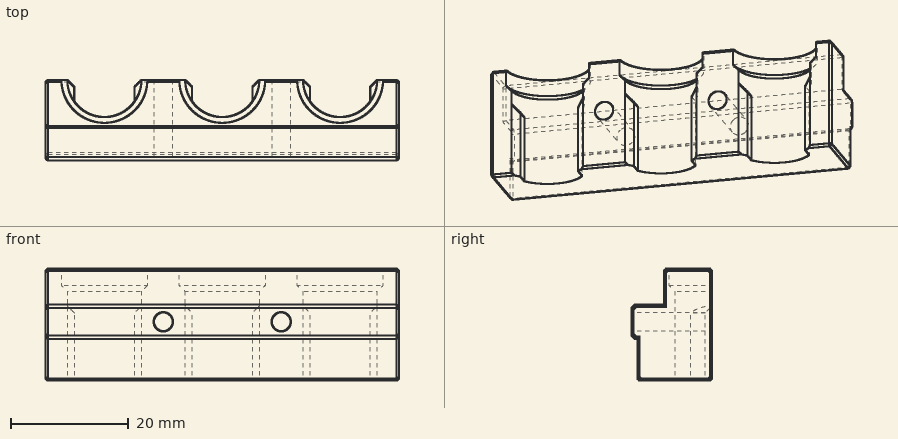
import cadquery as cq
import math

length = 60.0
depth = 13.7
height = 19.0

hole_diameter = 3.2
hole_height = 10.0

lip_width = 5.8
lip_overhang = 1.0
upper_depth = 8.2
lip_bottom = hole_height - lip_width / 2
lip_top = hole_height + lip_width / 2
lower_depth = depth - lip_overhang

edge_chamfer = 0.4
lip_chamfer = 0.6

cradle_pitch = 20.0
cradle_count = 3
rim_radius = 7.3
bore_radius = 6.3
rim_depth = 2.85
throat_depth = 6.3
throat_half_width = 5.1


def centred_positions(count):
    """X positions of `count` features spaced by the cradle pitch about the middle."""
    return [(i - (count - 1) / 2) * cradle_pitch for i in range(count)]


def rail_profile(x, inset):
    """Stepped YZ section at `x` with chamfered outer corners, offset inward by `inset`."""
    leg_loss = inset * (2 - math.sqrt(2))
    edge_leg = edge_chamfer - leg_loss
    lip_leg = lip_chamfer - leg_loss

    back = -inset
    upper_front = -upper_depth + inset
    lip_front = -depth + inset
    lower_front = -lower_depth + inset
    bottom = inset
    lip_under = lip_bottom + inset
    ledge = lip_top - inset
    top = height - inset

    corners = [
        (back, bottom + edge_leg),
        (back, top - edge_leg),
        (back - edge_leg, top),
        (upper_front + edge_leg, top),
        (upper_front, top - edge_leg),
        (upper_front, ledge),
        (lip_front + lip_leg, ledge),
        (lip_front, ledge - lip_leg),
        (lip_front, lip_under + lip_leg),
        (lip_front + lip_leg, lip_under),
        (lower_front, lip_under),
        (lower_front, bottom + edge_leg),
        (lower_front + edge_leg, bottom),
        (back - edge_leg, bottom),
    ]
    return cq.Workplane("YZ", origin=(x, 0, 0)).polyline(corners).close()


def chamfered_end(side):
    """Thin tapered slice that forms the chamfer around the end face at -X or +X."""
    end_x = side * length / 2
    start_x = end_x - side * edge_chamfer
    start_wire = rail_profile(start_x, 0).wires().val()
    end_wire = rail_profile(end_x, edge_chamfer).wires().val()
    return cq.Workplane(cq.Solid.makeLoft([start_wire, end_wire], True))


def rail_body():
    """Extruded rail with a chamfered slice on each end."""
    straight_length = length - 2 * edge_chamfer
    body = rail_profile(-straight_length / 2, 0).extrude(straight_length)
    for side in (-1, 1):
        body = body.union(chamfered_end(side))
    return body


def cradle_cutter(x):
    """Stepped bore, open at the back, whose opening narrows to a throat lower down."""
    step = rim_radius - bore_radius
    lead_in = bore_radius - throat_half_width
    rim_floor = height - rim_depth
    throat_top = height - throat_depth

    bore = (
        cq.Workplane("XZ")
        .polyline([
            (0, 0),
            (bore_radius, 0),
            (bore_radius, rim_floor - step),
            (rim_radius, rim_floor),
            (rim_radius, height),
            (0, height),
        ])
        .close()
        .revolve(360, (0, 0, 0), (0, 1, 0))
    )

    opening = (
        cq.Workplane("XZ")
        .polyline([
            (-throat_half_width, 0),
            (throat_half_width, 0),
            (throat_half_width, throat_top - lead_in),
            (bore_radius, throat_top),
            (rim_radius, throat_top),
            (rim_radius, height),
            (-rim_radius, height),
            (-rim_radius, throat_top),
            (-bore_radius, throat_top),
            (-throat_half_width, throat_top - lead_in),
        ])
        .close()
        .extrude(rim_radius)
    )

    mouth = (
        cq.Workplane("XY")
        .polyline([
            (-bore_radius, 0),
            (bore_radius, 0),
            (throat_half_width, -lead_in),
            (-throat_half_width, -lead_in),
        ])
        .close()
        .extrude(throat_top)
    )
    return bore.intersect(opening.union(mouth)).translate((x, 0, 0))


def screw_hole(x):
    """Cutter for a through hole along Y."""
    return (
        cq.Workplane("XZ")
        .center(x, hole_height)
        .circle(hole_diameter / 2)
        .extrude(depth)
    )


result = rail_body()
for cradle_x in centred_positions(cradle_count):
    result = result.cut(cradle_cutter(cradle_x))
for hole_x in centred_positions(cradle_count - 1):
    result = result.cut(screw_hole(hole_x))